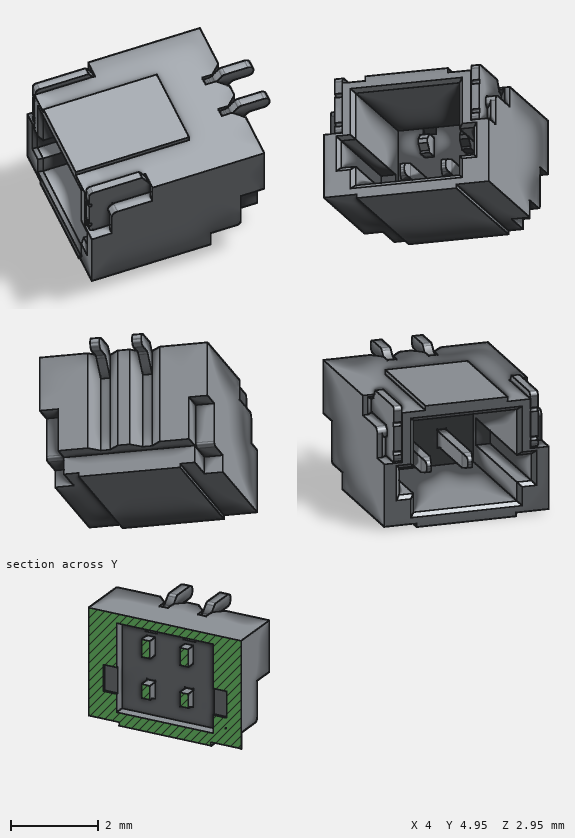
import cadquery as cq


BODY_WIDTH = 4.0
BODY_LENGTH = 4.265
BODY_BOTTOM = 0.09
BODY_TOP = 2.8
HALF_WIDTH = BODY_WIDTH / 2

TOP_PAD_WIDTH = 2.0
TOP_PAD_LENGTH = 2.8
TOP_PAD_TOP = 2.91

REAR_STEP_Y = 3.77
REAR_STEP_Z = 0.495
BOTTOM_PAD_WIDTH = 2.415

CAVITY_DEPTH = 3.17
CAVITY_WIDTH = 2.52
CAVITY_BOTTOM = 0.335
CAVITY_TOP = 2.555
GROOVE_DEPTH = 2.97
GROOVE_SPAN = 3.218
GROOVE_BOTTOM = 0.79
GROOVE_TOP = 1.445
LEAD_IN = 0.095

CLIP_INNER_X = 1.56
CLIP_THICKNESS = 0.195
CLIP_OUTER_X = CLIP_INNER_X + CLIP_THICKNESS
TERMINAL_TOP = 2.95

RECESS_LENGTH = 1.5
RECESS_SHELF_Z = 2.325
RECESS_LEG_LENGTH = 0.495
RECESS_FLOOR_Z = 1.605
RECESS_RADIUS = 0.14
FUNNEL_OUTER_X = 1.875
FUNNEL_DEPTH = 0.12
UPPER_FUNNEL_ROOF = 2.75
UPPER_FUNNEL_DROP = 0.1

CLIP_FRONT_Y = 0.035
CLIP_CLEARANCE = 0.02
CLIP_CORNER_RADIUS = 0.095
CLIP_REAR_EDGE_Z = 2.71
CLIP_CHAMFER_LENGTH = 0.16
CLIP_NOTCH_RADIUS = 0.047
CLIP_NOTCH_DEPTH = 0.06
CLIP_NOTCH_CENTRES = (1.825, 2.525)

RELIEF_UPPER_Y = 3.685
RELIEF_UPPER_Z = 1.51
RELIEF_LOWER_Y = 2.945
RELIEF_RADIUS = 0.105

PITCH = 1.0
CONTACT_X = (-PITCH / 2, PITCH / 2)
CONTACT_WIDTH = 0.225
EMBED = 0.395

PIN_TIP_Y = 1.19
PIN_BOTTOM = 0.815
PIN_TOP = 1.18
PIN_TAPER_LENGTH = 0.248
PIN_TAPER_INSET = 0.06
PIN_NOSE_RADIUS = 0.12
PIN_ROOT_BOTTOM = 0.75
PIN_ROOT_LENGTH = 0.15
PIN_LIP_RADIUS = 0.045

PRONG_LENGTH = 0.495
PRONG_BOTTOM = 1.845
PRONG_TOP = 2.295
PRONG_STEP = 0.055
PRONG_TAPER = 0.145

WINDOW_WIDTH = 0.31
WINDOW_BOTTOM = 2.39
WINDOW_DEPTH = 0.165

TAIL_END_Y = 4.95
TAIL_UNDERSIDE = 2.65
TAIL_TIP_RADIUS = 0.145
TAIL_TOP_BEND_Y = 4.205
TAIL_LOWER_BEND_Y = 4.43
SLOT_FRONT_Y = 3.765
NOTCH_APEX_Y = 4.02
SLOT_DEPTH = 0.295
TAIL_SEAT_Z = 2.72
SEAT_RADIUS = 0.11
TAIL_BEND_RADIUS = 0.125


def box(x0, x1, y0, y1, z0, z1):
    """Box given by its limits along each axis."""
    return cq.Workplane("XY").box(x1 - x0, y1 - y0, z1 - z0, centered=False).translate((x0, y0, z0))


def centred_box(width, y0, y1, z0, z1):
    """Box centred on X = 0."""
    return box(-width / 2, width / 2, y0, y1, z0, z1)


def side_plane(x):
    """Y-Z sketch plane at the given X, extruding towards +X."""
    return cq.Workplane("YZ").workplane(offset=x)


def both_sides(shape):
    """A feature of the +X side together with its mirror image."""
    return shape.union(shape.mirror("YZ"))


def front_rectangle_loft(near, far, y0, y1):
    """Taper from rectangle `near` at y0 to `far` at y1, each (x0, x1, z0, z1)."""
    wires = []
    for (x0, x1, z0, z1), y in ((near, y0), (far, y1)):
        corners = [(x0, y, z0), (x1, y, z0), (x1, y, z1), (x0, y, z1)]
        wires.append(cq.Wire.makePolygon([cq.Vector(*c) for c in corners], close=True))
    return cq.Workplane(obj=cq.Solid.makeLoft(wires, True))


def lead_in_opening(width, depth, bottom, top):
    """Straight rectangular cavity with a chamfered mouth."""
    half = width / 2
    mouth = (-half - LEAD_IN, half + LEAD_IN, bottom - LEAD_IN, top + LEAD_IN)
    throat = (-half, half, bottom, top)
    straight = centred_box(width, 0, depth, bottom, top)
    return straight.union(front_rectangle_loft(mouth, throat, 0, LEAD_IN))


def housing_block():
    """Outer block with its top and bottom pads and the stepped rear underside."""
    block = centred_box(BODY_WIDTH, 0, BODY_LENGTH, BODY_BOTTOM, BODY_TOP)
    top_pad = centred_box(TOP_PAD_WIDTH, 0, TOP_PAD_LENGTH, BODY_TOP, TOP_PAD_TOP)
    bottom_pad = centred_box(BOTTOM_PAD_WIDTH, 0, REAR_STEP_Y, 0, BODY_BOTTOM)
    rear_step = centred_box(BODY_WIDTH, REAR_STEP_Y, BODY_LENGTH, BODY_BOTTOM, REAR_STEP_Z)
    return block.union(top_pad).union(bottom_pad).cut(rear_step)


def mating_cavity():
    """Main cavity with a polarising groove in each side wall."""
    main = lead_in_opening(CAVITY_WIDTH, CAVITY_DEPTH, CAVITY_BOTTOM, CAVITY_TOP)
    grooves = lead_in_opening(GROOVE_SPAN, GROOVE_DEPTH, GROOVE_BOTTOM, GROOVE_TOP)
    return main.union(grooves)


def clip_recess():
    """L-shaped recess for the clip, with tapered pockets behind its two rear walls."""
    depth = HALF_WIDTH - CLIP_INNER_X
    recess = (
        side_plane(CLIP_INNER_X)
        .moveTo(0, RECESS_FLOOR_Z)
        .lineTo(RECESS_LEG_LENGTH, RECESS_FLOOR_Z)
        .lineTo(RECESS_LEG_LENGTH, RECESS_SHELF_Z - RECESS_RADIUS)
        .radiusArc((RECESS_LEG_LENGTH + RECESS_RADIUS, RECESS_SHELF_Z), RECESS_RADIUS)
        .lineTo(RECESS_LENGTH, RECESS_SHELF_Z)
        .lineTo(RECESS_LENGTH, BODY_TOP)
        .lineTo(0, BODY_TOP)
        .close()
        .extrude(depth)
    )
    lip_y = RECESS_LEG_LENGTH + RECESS_RADIUS
    lip_z = RECESS_SHELF_Z - RECESS_RADIUS
    pockets = (
        (RECESS_LEG_LENGTH, RECESS_FLOOR_Z, lip_z, lip_z),
        (RECESS_LENGTH, RECESS_SHELF_Z, UPPER_FUNNEL_ROOF, UPPER_FUNNEL_ROOF - UPPER_FUNNEL_DROP),
    )
    for wall_y, floor_z, front_roof_z, rear_roof_z in pockets:
        near = (CLIP_INNER_X, FUNNEL_OUTER_X, floor_z, front_roof_z)
        far = (CLIP_INNER_X, CLIP_OUTER_X, floor_z, rear_roof_z)
        recess = recess.union(front_rectangle_loft(near, far, wall_y, wall_y + FUNNEL_DEPTH))
    lip = side_plane(CLIP_INNER_X).center(lip_y, lip_z).circle(RECESS_RADIUS).extrude(depth)
    return recess.cut(lip)


def clip():
    """L-shaped solder clip with rounded front corners and two small round front notches."""
    leg_rear = RECESS_LEG_LENGTH + FUNNEL_DEPTH
    arm_rear = RECESS_LENGTH + FUNNEL_DEPTH
    arm_bottom = RECESS_SHELF_Z + CLIP_CLEARANCE
    plate = (
        side_plane(CLIP_INNER_X)
        .moveTo(CLIP_FRONT_Y, RECESS_FLOOR_Z + CLIP_CORNER_RADIUS)
        .lineTo(CLIP_FRONT_Y, TERMINAL_TOP - CLIP_CORNER_RADIUS)
        .radiusArc((CLIP_FRONT_Y + CLIP_CORNER_RADIUS, TERMINAL_TOP), CLIP_CORNER_RADIUS)
        .lineTo(RECESS_LENGTH - CLIP_CHAMFER_LENGTH, TERMINAL_TOP)
        .lineTo(RECESS_LENGTH, CLIP_REAR_EDGE_Z)
        .lineTo(arm_rear, UPPER_FUNNEL_ROOF - UPPER_FUNNEL_DROP)
        .lineTo(arm_rear, arm_bottom)
        .lineTo(leg_rear, arm_bottom)
        .lineTo(leg_rear, RECESS_FLOOR_Z)
        .lineTo(CLIP_FRONT_Y + CLIP_CORNER_RADIUS, RECESS_FLOOR_Z)
        .radiusArc((CLIP_FRONT_Y, RECESS_FLOOR_Z + CLIP_CORNER_RADIUS), CLIP_CORNER_RADIUS)
        .close()
        .extrude(CLIP_THICKNESS)
    )
    notch_y = CLIP_FRONT_Y + CLIP_NOTCH_DEPTH - CLIP_NOTCH_RADIUS
    notches = (
        side_plane(CLIP_INNER_X)
        .pushPoints([(notch_y, z) for z in CLIP_NOTCH_CENTRES])
        .circle(CLIP_NOTCH_RADIUS)
        .extrude(CLIP_THICKNESS)
    )
    return plate.cut(notches)


def rear_relief():
    """L-shaped relief in the lower rear corner of the side wall."""
    return (
        side_plane(CLIP_INNER_X)
        .moveTo(BODY_LENGTH, RELIEF_UPPER_Z)
        .lineTo(RELIEF_UPPER_Y, RELIEF_UPPER_Z)
        .lineTo(RELIEF_UPPER_Y, REAR_STEP_Z + RELIEF_RADIUS)
        .radiusArc((RELIEF_UPPER_Y - RELIEF_RADIUS, REAR_STEP_Z), RELIEF_RADIUS)
        .lineTo(RELIEF_LOWER_Y, REAR_STEP_Z)
        .lineTo(RELIEF_LOWER_Y, BODY_BOTTOM)
        .lineTo(BODY_LENGTH, BODY_BOTTOM)
        .close()
        .extrude(HALF_WIDTH - CLIP_INNER_X)
    )


def tail_openings(x):
    """V notch through the rear wall and the narrow slot in the top ahead of it."""
    half_apex = CONTACT_WIDTH / 2
    half_mouth = half_apex + BODY_LENGTH - NOTCH_APEX_Y
    notch = (
        cq.Workplane("XY")
        .polyline([
            (x - half_apex, NOTCH_APEX_Y),
            (x - half_mouth, BODY_LENGTH),
            (x + half_mouth, BODY_LENGTH),
            (x + half_apex, NOTCH_APEX_Y),
        ])
        .close()
        .extrude(BODY_TOP)
    )
    slot = box(x - half_apex, x + half_apex, SLOT_FRONT_Y, NOTCH_APEX_Y, BODY_TOP - SLOT_DEPTH, BODY_TOP)
    return notch.union(slot)


def wall_window(x):
    """Pocket with a sloping roof at the top of the cavity's back wall."""
    return (
        side_plane(x - WINDOW_WIDTH / 2)
        .polyline([
            (CAVITY_DEPTH, WINDOW_BOTTOM),
            (CAVITY_DEPTH + WINDOW_DEPTH, WINDOW_BOTTOM),
            (CAVITY_DEPTH, CAVITY_TOP),
        ])
        .close()
        .extrude(WINDOW_WIDTH)
    )


def pin_lip(x):
    """Rounded lip of the back wall directly above a pin."""
    return (
        side_plane(x - CONTACT_WIDTH / 2)
        .moveTo(CAVITY_DEPTH, PIN_TOP)
        .lineTo(CAVITY_DEPTH, PIN_TOP + PIN_LIP_RADIUS)
        .radiusArc((CAVITY_DEPTH + PIN_LIP_RADIUS, PIN_TOP), -PIN_LIP_RADIUS)
        .close()
        .extrude(CONTACT_WIDTH)
    )


def solder_tail(x):
    """Tail rising at 45 degrees from the slot, then running level to a rounded end."""
    rise = TERMINAL_TOP - TAIL_SEAT_Z
    slot_floor = BODY_TOP - SLOT_DEPTH
    lower_y = NOTCH_APEX_Y - EMBED / 2
    lower_z = TAIL_UNDERSIDE - (TAIL_LOWER_BEND_Y - lower_y)
    bends = (
        (TAIL_TOP_BEND_Y - rise, TAIL_SEAT_Z),
        (TAIL_TOP_BEND_Y, TERMINAL_TOP),
        (TAIL_LOWER_BEND_Y, TAIL_UNDERSIDE),
    )
    tail = (
        side_plane(x - CONTACT_WIDTH / 2)
        .moveTo(SLOT_FRONT_Y, slot_floor)
        .lineTo(SLOT_FRONT_Y, TAIL_SEAT_Z - SEAT_RADIUS)
        .radiusArc((SLOT_FRONT_Y + SEAT_RADIUS, TAIL_SEAT_Z), SEAT_RADIUS)
        .lineTo(TAIL_TOP_BEND_Y - rise, TAIL_SEAT_Z)
        .lineTo(TAIL_TOP_BEND_Y, TERMINAL_TOP)
        .lineTo(TAIL_END_Y - TAIL_TIP_RADIUS, TERMINAL_TOP)
        .radiusArc((TAIL_END_Y, TERMINAL_TOP - TAIL_TIP_RADIUS), TAIL_TIP_RADIUS)
        .lineTo(TAIL_END_Y, TAIL_UNDERSIDE + TAIL_TIP_RADIUS)
        .radiusArc((TAIL_END_Y - TAIL_TIP_RADIUS, TAIL_UNDERSIDE), TAIL_TIP_RADIUS)
        .lineTo(TAIL_LOWER_BEND_Y, TAIL_UNDERSIDE)
        .lineTo(lower_y, lower_z)
        .close()
        .extrude(CONTACT_WIDTH)
    )
    for y, z in bends:
        corner = cq.selectors.NearestToPointSelector((x, y, z))
        tail = tail.edges(corner).fillet(TAIL_BEND_RADIUS)
    return tail


def contact_pin(x):
    """Long contact blade with a tapered, round-nosed tip and a root flaring down to the wall."""
    half = CONTACT_WIDTH / 2
    inset = PIN_TAPER_INSET
    taper_y = PIN_TIP_Y + PIN_TAPER_LENGTH
    rear_y = CAVITY_DEPTH + EMBED
    nose = (x - half + inset, x + half - inset, PIN_BOTTOM + inset, PIN_TOP - inset)
    shank = (x - half, x + half, PIN_BOTTOM, PIN_TOP)
    tip = front_rectangle_loft(nose, shank, PIN_TIP_Y, taper_y)
    tip = tip.faces("<Y").edges("|X").fillet(PIN_NOSE_RADIUS)
    blade = box(x - half, x + half, taper_y, rear_y, PIN_BOTTOM, PIN_TOP)
    root = (
        side_plane(x - half)
        .polyline([
            (CAVITY_DEPTH - PIN_ROOT_LENGTH, PIN_BOTTOM),
            (CAVITY_DEPTH, PIN_ROOT_BOTTOM),
            (rear_y, PIN_ROOT_BOTTOM),
            (rear_y, PIN_BOTTOM),
        ])
        .close()
        .extrude(CONTACT_WIDTH)
    )
    return tip.union(blade).union(root)


def upper_prong(x):
    """Short prong on the back wall with a wedge-shaped tip above a small step."""
    tip_y = CAVITY_DEPTH - PRONG_LENGTH
    shoulder_y = tip_y + PRONG_TAPER
    rear_y = CAVITY_DEPTH + EMBED
    return (
        side_plane(x - CONTACT_WIDTH / 2)
        .polyline([
            (rear_y, PRONG_BOTTOM),
            (shoulder_y, PRONG_BOTTOM),
            (shoulder_y, PRONG_BOTTOM + PRONG_STEP),
            (tip_y, PRONG_BOTTOM + PRONG_STEP + PRONG_TAPER),
            (tip_y, PRONG_TOP - PRONG_TAPER),
            (shoulder_y, PRONG_TOP),
            (rear_y, PRONG_TOP),
        ])
        .close()
        .extrude(CONTACT_WIDTH)
    )


body = housing_block().cut(mating_cavity())
body = body.cut(both_sides(clip_recess())).cut(both_sides(rear_relief()))
for contact_x in CONTACT_X:
    body = body.cut(tail_openings(contact_x)).cut(wall_window(contact_x)).cut(pin_lip(contact_x))

result = body.union(both_sides(clip()))
for contact_x in CONTACT_X:
    result = result.union(solder_tail(contact_x))
    result = result.union(contact_pin(contact_x))
    result = result.union(upper_prong(contact_x))